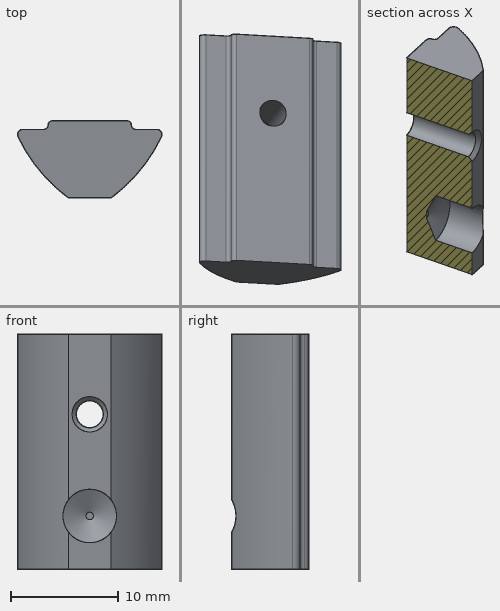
import cadquery as cq
import math

width = 13.5
thickness = 7.2
length = 22.0

tongue_width = 7.8
tongue_height = 0.8
tongue_fillet = tongue_height / 2
shoulder_fillet = 0.5
front_flat_width = 4.0
flank_start_angle = 64.5
flank_end_angle = 36.0

screw_hole_diameter = 2.5
screw_countersink_diameter = 3.3
screw_countersink_depth = (screw_countersink_diameter - screw_hole_diameter) / 2
screw_hole_z = 14.5

pocket_diameter = 5.0
pocket_tip_diameter = 0.7
pocket_wall_depth = 4.0
pocket_tip_angle = 130.0
pocket_z = 5.0

front_y = -thickness
shoulder_y = -tongue_height
half_width = width / 2
half_tongue = tongue_width / 2
half_flat = front_flat_width / 2


def point_on_circle(center, radius, angle):
    """Point on a circle at an angle in degrees, counter-clockwise from +X."""
    return (
        center[0] + radius * math.cos(math.radians(angle)),
        center[1] + radius * math.sin(math.radians(angle)),
    )


def make_body():
    """Extrude the right half of the section along Z and mirror it."""
    shoulder_center = (half_width - shoulder_fillet, shoulder_y - shoulder_fillet)
    shoulder_exit_angle = flank_start_angle - 90
    shoulder_middle_angle = (90 + shoulder_exit_angle) / 2
    shoulder_middle = point_on_circle(shoulder_center, shoulder_fillet, shoulder_middle_angle)
    flank_start = point_on_circle(shoulder_center, shoulder_fillet, shoulder_exit_angle)
    flank_end = (half_flat, front_y)

    flank_chord = math.dist(flank_start, flank_end)
    flank_sweep = math.radians(flank_start_angle - flank_end_angle)
    flank_bulge = flank_chord / 2 * math.tan(flank_sweep / 4)

    half_body = (
        cq.Workplane("XY")
        .moveTo(0, 0)
        .lineTo(half_tongue - tongue_fillet, 0)
        .radiusArc((half_tongue, -tongue_fillet), tongue_fillet)
        .radiusArc((half_tongue + tongue_fillet, shoulder_y), -tongue_fillet)
        .lineTo(shoulder_center[0], shoulder_y)
        .threePointArc(shoulder_middle, flank_start)
        .sagittaArc(flank_end, flank_bulge)
        .lineTo(0, front_y)
        .close()
        .extrude(length)
    )
    return half_body.union(half_body.mirror("YZ")).clean()


def revolve_about_y(profile, z):
    """Revolve a (radius, depth) profile about a Y-direction axis through the front flat."""
    return (
        cq.Workplane("XY")
        .polyline([(radius, front_y + depth) for radius, depth in profile])
        .close()
        .revolve(360, (0, 0, 0), (0, 1, 0))
        .translate((0, 0, z))
    )


def make_screw_hole():
    hole_radius = screw_hole_diameter / 2
    profile = [
        (0, 0),
        (screw_countersink_diameter / 2, 0),
        (hole_radius, screw_countersink_depth),
        (hole_radius, thickness),
        (0, thickness),
    ]
    return revolve_about_y(profile, screw_hole_z)


def make_pocket():
    pocket_radius = pocket_diameter / 2
    tip_radius = pocket_tip_diameter / 2
    cone_depth = (pocket_radius - tip_radius) / math.tan(math.radians(pocket_tip_angle / 2))
    tip_depth = pocket_wall_depth + cone_depth
    profile = [
        (0, 0),
        (pocket_radius, 0),
        (pocket_radius, pocket_wall_depth),
        (tip_radius, tip_depth),
        (0, tip_depth),
    ]
    return revolve_about_y(profile, pocket_z)


result = make_body().cut(make_screw_hole()).cut(make_pocket())